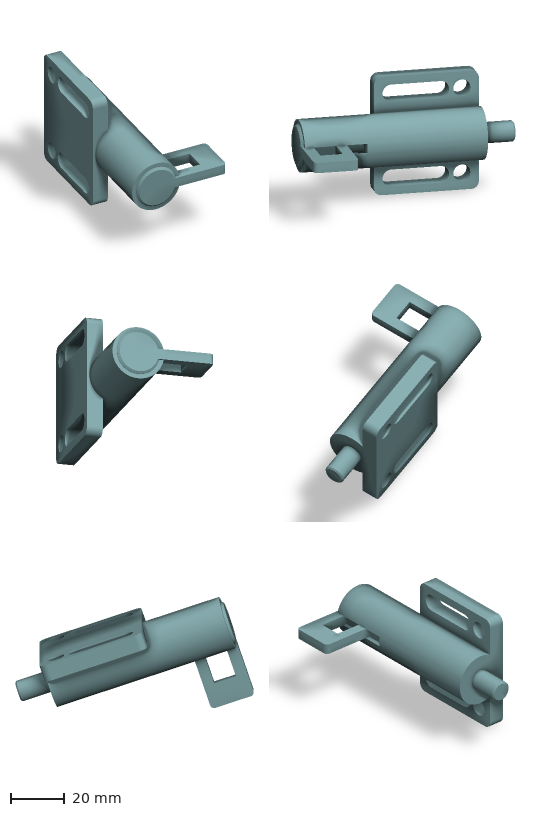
import cadquery as cq

bolt_length = 83.0
pin_diameter = 8.0
pin_chamfer = 0.6
pin_projection = 12.0

barrel_diameter = 20.0
barrel_end = 82.0
bore_diameter = 16.6
slot_start = 58.1

plate_length = 40.0
plate_height = 46.0
plate_thickness = 6.2
plate_front = -11.0
plate_corner_radius = 2.8
hole_diameter = 6.5
hole_inset = 6.5
long_hole_gap = 1.7

handle_width = 17.0
handle_thickness = 4.0
handle_tip = 29.0
handle_corner_radius = 1.6
window_width = 8.55
window_offset = 4.1
window_margin = 8.9
plug_chamfer = 0.8

plug_start = bolt_length - handle_width
plate_back = plate_front + plate_thickness
hole_x = pin_projection + hole_inset
hole_z = plate_height / 2 - hole_inset
long_hole_start = hole_x + hole_diameter / 2 + long_hole_gap
long_hole_end = pin_projection + plate_length - (hole_inset - hole_diameter / 2)
bore_radius = bore_diameter / 2


def rod(diameter, x_start, x_end):
    """Cylinder on the bolt axis between two X positions."""
    return cq.Workplane("YZ", origin=(x_start, 0, 0)).circle(diameter / 2).extrude(x_end - x_start)


def block(x_range, y_range, z_size):
    """Box between X and Y limits, centred on Z = 0."""
    length = x_range[1] - x_range[0]
    depth = y_range[1] - y_range[0]
    return cq.Workplane("XY").box(length, depth, z_size, centered=(False, False, True)).translate(
        (x_range[0], y_range[0], 0)
    )


def make_plate():
    """Mounting plate with a round hole and a long hole along each Z edge."""
    plate = block((pin_projection, pin_projection + plate_length), (plate_front, plate_back), plate_height)
    plate = plate.edges("|Y").fillet(plate_corner_radius)
    long_hole_length = long_hole_end - long_hole_start
    long_hole_x = (long_hole_start + long_hole_end) / 2
    sketch = cq.Workplane("XZ", origin=(0, plate_back, 0))
    round_holes = sketch.pushPoints([(hole_x, hole_z), (hole_x, -hole_z)])
    round_holes = round_holes.circle(hole_diameter / 2).extrude(plate_thickness)
    long_holes = sketch.pushPoints([(long_hole_x, hole_z), (long_hole_x, -hole_z)])
    long_holes = long_holes.slot2D(long_hole_length, hole_diameter).extrude(plate_thickness)
    return plate.cut(round_holes).cut(long_holes)


def make_housing():
    """Barrel and plate, with a stepped bore and a handle slot open at the end."""
    housing = rod(barrel_diameter, pin_projection, barrel_end).union(make_plate())
    housing = housing.cut(rod(pin_diameter, pin_projection, slot_start))
    housing = housing.cut(rod(bore_diameter, slot_start, barrel_end))
    return housing.cut(block((slot_start, barrel_end), (0, barrel_diameter), handle_thickness))


def make_handle():
    """Flat handle with rounded outer corners and a rectangular window."""
    handle = block((plug_start, bolt_length), (bore_radius / 2, handle_tip), handle_thickness)
    handle = handle.edges("|Z and >Y").fillet(handle_corner_radius)
    window_start = plug_start + window_offset
    window = block(
        (window_start, window_start + window_width),
        (bore_radius, handle_tip - window_margin),
        handle_thickness,
    )
    return handle.cut(window)


def make_bolt():
    """Sliding pin with a thick plug at the rear that carries the handle."""
    pin = rod(pin_diameter, 0, plug_start).faces("<X").chamfer(pin_chamfer)
    plug = rod(bore_diameter, plug_start, bolt_length).faces(">X").chamfer(plug_chamfer)
    return pin.union(plug).union(make_handle())


housing = make_housing()
bolt = make_bolt()
result = cq.Compound.makeCompound([housing.val(), bolt.val()])